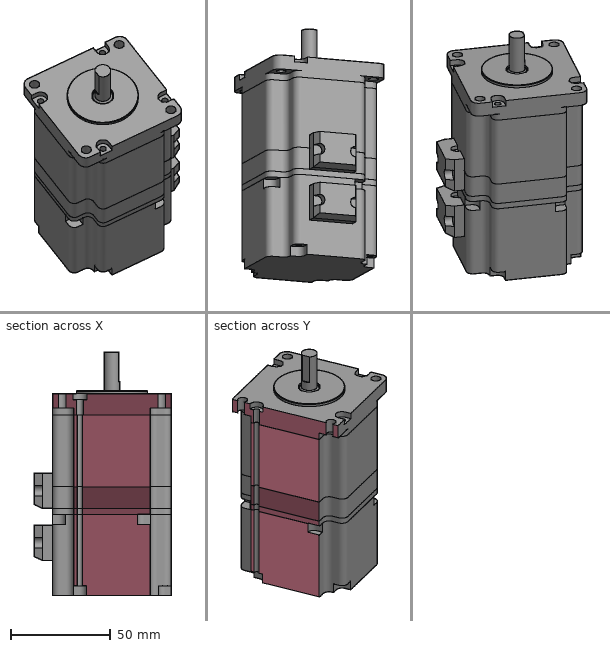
import cadquery as cq
import math

body_width = 60.0
half_width = body_width / 2

encoder_cover_top = 41.0
spacer_top = 44.0
rear_cover_top = 55.0
stator_top = 91.2
flange_bottom = 94.6
flange_top = 101.87
pilot_top = 103.37
shaft_top = 122.77

edge_half_length = 16.0
edge_round = 3.4
relief_start = edge_half_length + edge_round
relief_wall = half_width - edge_round
relief_round = 3.4

flange_corner_radius = 4.2
mount_hole_offset = 25.0
mount_hole_diameter = 5.0
pilot_diameter = 36.0
pilot_chamfer = 0.3

screw_along = 16.2
screw_across = 26.8
flange_screw_diameter = 3.2
body_screw_diameter = 2.6
flange_pocket_radius = 3.45
flange_pocket_depth = 3.0
cover_notch_radius = 3.25
cover_notch_height = 5.0

shaft_diameter = 8.0
shaft_flat_offset = 3.5
shaft_flat_length = 14.8
seal_diameter = 11.0
seal_height = 3.0
seal_lip_diameter = 10.0
seal_lip_height = 1.0

connector_bottoms = (17.75, 44.0)
connector_width = 23.2
connector_height = 17.8
connector_depth = 9.3
connector_straight_depth = 5.1
connector_side_taper = 1.9
connector_bottom_taper = 2.0
grip_width = 5.4
grip_inner_offset = 7.0
cable_slot_radius = 2.9
cable_slot_reach = 4.1
cable_slot_depth = 2.0


def cylinder(diameter, bottom, top):
    return cq.Workplane("XY", origin=(0, 0, bottom)).circle(diameter / 2).extrude(top - bottom)


def four_around(shape):
    """The shape together with its copies turned by 90, 180 and 270 degrees about Z."""
    ring = shape
    for angle in (90, 180, 270):
        ring = ring.union(shape.rotate((0, 0, 0), (0, 0, 1), angle))
    return ring


def corner_relief(bottom, top):
    """The material missing from the (+X, -Y) corner of the housing."""
    diagonal = math.cos(math.radians(45))
    bend = 1 - diagonal
    arc_end = relief_start + relief_round
    outside = half_width + edge_round
    return (
        cq.Workplane("XY", origin=(0, 0, bottom))
        .moveTo(edge_half_length, -outside)
        .lineTo(edge_half_length, -half_width)
        .threePointArc(
            (relief_start - edge_round * bend, -half_width + edge_round * bend),
            (relief_start, -relief_wall),
        )
        .lineTo(relief_start, -arc_end)
        .threePointArc(
            (arc_end - relief_round * diagonal, -(arc_end - relief_round * diagonal)),
            (arc_end, -relief_start),
        )
        .lineTo(relief_wall, -relief_start)
        .threePointArc(
            (half_width - edge_round * bend, -relief_start + edge_round * bend),
            (half_width, -edge_half_length),
        )
        .lineTo(outside, -edge_half_length)
        .lineTo(outside, -outside)
        .close()
        .extrude(top - bottom)
    )


def screw_holes(diameter, bottom, top):
    hole = cylinder(diameter, bottom, top).translate((-screw_along, -screw_across, 0))
    return four_around(hole)


def flange_pockets():
    """Round-ended recesses around the screw heads, each open to the nearest side face."""
    mouth_length = half_width - screw_across
    floor = cq.Workplane("XY", origin=(-screw_along, -screw_across, flange_top - flange_pocket_depth))
    round_end = floor.circle(flange_pocket_radius).extrude(flange_pocket_depth)
    mouth = (
        floor.center(0, -mouth_length / 2)
        .rect(2 * flange_pocket_radius, mouth_length)
        .extrude(flange_pocket_depth)
    )
    return four_around(round_end.union(mouth))


def cover_notch(bottom):
    """Notch in the -Y face, open to the (+X, -Y) corner relief, with a rounded inner corner."""
    inner_side = screw_along - cover_notch_radius
    back = -screw_across + cover_notch_radius
    width = relief_start - inner_side
    depth = half_width + back
    return (
        cq.Workplane("XY", origin=(inner_side + width / 2, back - depth / 2, bottom))
        .rect(width, depth)
        .extrude(cover_notch_height)
        .edges("|Z")
        .edges("<X")
        .edges(">Y")
        .fillet(cover_notch_radius)
    )


def housing_section(bottom, top):
    block = cq.Workplane("XY", origin=(0, 0, bottom)).rect(body_width, body_width).extrude(top - bottom)
    return (
        block.cut(four_around(corner_relief(bottom, top)))
        .cut(screw_holes(body_screw_diameter, bottom, top))
    )


def make_encoder_cover():
    """Rearmost section, with one notch per side at its top and the mirrored set at its bottom."""
    upper_notches = four_around(cover_notch(encoder_cover_top - cover_notch_height))
    lower_notches = four_around(cover_notch(0).mirror("YZ"))
    return housing_section(0, encoder_cover_top).cut(upper_notches).cut(lower_notches)


def make_front_flange():
    flange = (
        cq.Workplane("XY", origin=(0, 0, stator_top))
        .rect(body_width, body_width)
        .extrude(flange_top - stator_top)
        .edges("|Z")
        .fillet(flange_corner_radius)
        .cut(four_around(corner_relief(stator_top, flange_bottom)))
    )
    pilot = cylinder(pilot_diameter, flange_top, pilot_top).faces(">Z").chamfer(pilot_chamfer)
    mount_holes = (
        cq.Workplane("XY", origin=(0, 0, stator_top))
        .rect(2 * mount_hole_offset, 2 * mount_hole_offset, forConstruction=True)
        .vertices()
        .circle(mount_hole_diameter / 2)
        .extrude(flange_top - stator_top)
    )
    shaft_bore = cylinder(shaft_diameter, stator_top, pilot_top)
    seal_seat = cylinder(seal_diameter, pilot_top - seal_height, pilot_top)
    return (
        flange.union(pilot)
        .cut(mount_holes)
        .cut(flange_pockets())
        .cut(screw_holes(flange_screw_diameter, stator_top, flange_top))
        .cut(shaft_bore)
        .cut(seal_seat)
    )


def make_shaft():
    rod = cylinder(shaft_diameter, stator_top, shaft_top)
    flat = (
        cq.Workplane("XY", origin=(0, -shaft_flat_offset - shaft_diameter / 2, shaft_top - shaft_flat_length))
        .rect(shaft_diameter, shaft_diameter)
        .extrude(shaft_flat_length)
    )
    return rod.cut(flat)


def make_seal():
    """Ring around the shaft whose lip tapers in to the shaft, level with the pilot."""
    return (
        cq.Workplane("XZ")
        .moveTo(shaft_diameter / 2, pilot_top - seal_height)
        .lineTo(seal_diameter / 2, pilot_top - seal_height)
        .lineTo(seal_diameter / 2, pilot_top - seal_lip_height)
        .lineTo(seal_lip_diameter / 2, pilot_top - seal_lip_height)
        .lineTo(shaft_diameter / 2, pilot_top)
        .close()
        .revolve(360, (0, 0, 0), (0, 1, 0))
    )


def make_connector(bottom):
    half = connector_width / 2
    tip_half = half - connector_side_taper
    taper_start = half_width + connector_straight_depth
    tip = half_width + connector_depth
    top = bottom + connector_height
    middle = (bottom + top) / 2
    block = (
        cq.Workplane("XY", origin=(0, 0, bottom))
        .polyline([
            (-half, half_width),
            (half, half_width),
            (half, taper_start),
            (tip_half, tip),
            (-tip_half, tip),
            (-half, taper_start),
        ])
        .close()
        .extrude(connector_height)
    )
    underside = (
        cq.Workplane("YZ", origin=(-half, 0, 0))
        .polyline([(taper_start, bottom), (tip, bottom), (tip, bottom + connector_bottom_taper)])
        .close()
        .extrude(connector_width)
    )
    connector = block.cut(underside)
    for side in (-1, 1):
        grip = (
            cq.Workplane("XZ", origin=(0, tip, 0))
            .center(side * (grip_inner_offset + half), middle)
            .slot2D(2 * half, grip_width)
            .extrude(tip - taper_start)
        )
        connector = connector.cut(grip)
    cable_slot = (
        cq.Workplane("XY", origin=(0, half_width, top - cable_slot_depth))
        .slot2D(2 * cable_slot_reach, 2 * cable_slot_radius, 90)
        .extrude(cable_slot_depth)
    )
    return connector.cut(cable_slot)


encoder_cover = make_encoder_cover()
spacer = housing_section(encoder_cover_top, spacer_top)
rear_cover = housing_section(spacer_top, rear_cover_top)
stator = housing_section(rear_cover_top, stator_top)
front_flange = make_front_flange()
shaft = make_shaft()
seal = make_seal()
connectors = [make_connector(bottom) for bottom in connector_bottoms]

result = cq.Compound.makeCompound([
    encoder_cover.val(),
    spacer.val(),
    rear_cover.val(),
    stator.val(),
    front_flange.val(),
    shaft.val(),
    seal.val(),
    *[connector.val() for connector in connectors],
])